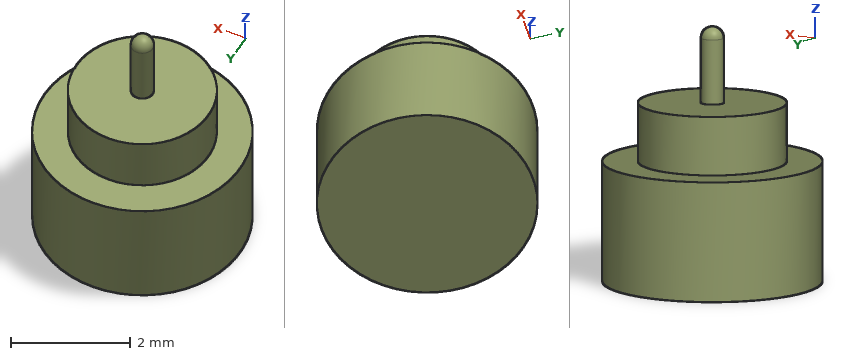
import cadquery as cq

total_height = 4.35
body_diameter = 3.7
collar_diameter = 2.5
pin_diameter = 0.39

body_height = 2.05
collar_height = 1.0
shoulder_height = body_height + collar_height
pin_length = total_height - shoulder_height


def cylinder(diameter, height, base_z):
    """Upright cylinder on the Z axis, starting at base_z."""
    return cq.Workplane("XY").workplane(offset=base_z).circle(diameter / 2).extrude(height)


def domed_pin():
    """Straight pin whose free end is a hemisphere."""
    radius = pin_diameter / 2
    shank_length = pin_length - radius
    shank = cylinder(pin_diameter, shank_length, shoulder_height)
    dome = cq.Workplane("XY").sphere(radius).translate((0, 0, shoulder_height + shank_length))
    return shank.union(dome)


body = cylinder(body_diameter, body_height, 0)
collar = cylinder(collar_diameter, collar_height, body_height)

result = body.union(collar).union(domed_pin())